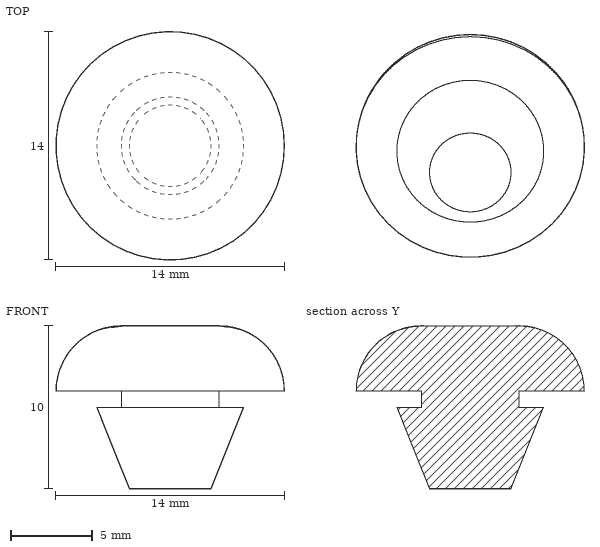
import cadquery as cq
import math

head_diameter = 14.0
head_height = 4.0
neck_diameter = 5.99
neck_height = 1.0
plug_top_diameter = 9.0
plug_tip_diameter = 5.0
plug_height = 5.0

head_radius = head_diameter / 2
neck_radius = neck_diameter / 2
plug_top_radius = plug_top_diameter / 2
plug_tip_radius = plug_tip_diameter / 2

neck_base = plug_height
head_base = neck_base + neck_height
head_top = head_base + head_height

edge_radius = head_height
flat_radius = head_radius - edge_radius
edge_mid_offset = edge_radius * math.sqrt(0.5)
edge_midpoint = (flat_radius + edge_mid_offset, head_base + edge_mid_offset)

half_section = (
    cq.Workplane("XZ")
    .moveTo(0, 0)
    .lineTo(plug_tip_radius, 0)
    .lineTo(plug_top_radius, neck_base)
    .lineTo(neck_radius, neck_base)
    .lineTo(neck_radius, head_base)
    .lineTo(head_radius, head_base)
    .threePointArc(edge_midpoint, (flat_radius, head_top))
    .lineTo(0, head_top)
    .close()
)

result = half_section.revolve(360, (0, 0), (0, 1))